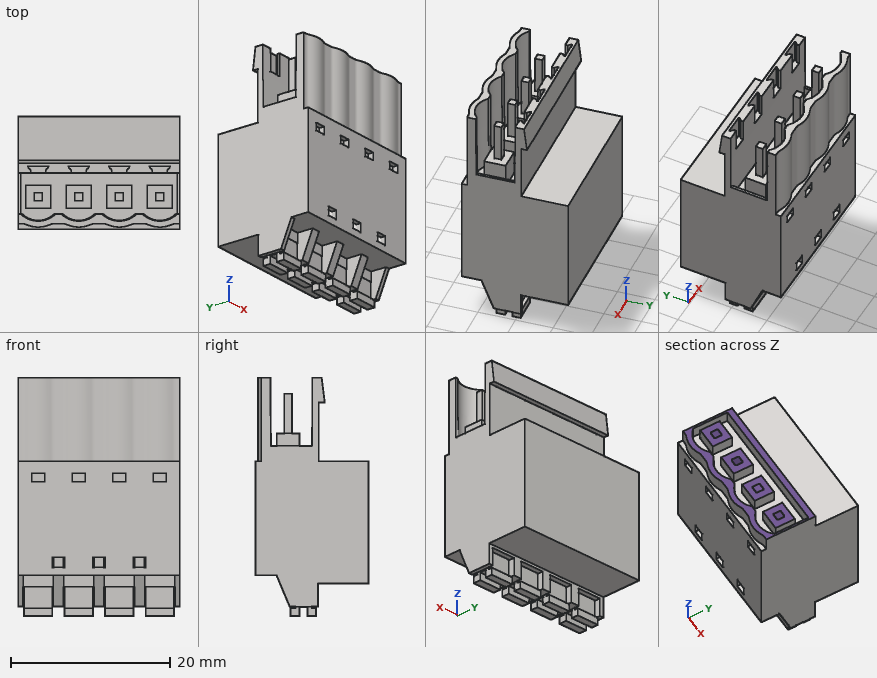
import cadquery as cq
import math


WAYS = 4
PITCH = 5.1
LENGTH = 20.32
WAY_X = [(i - (WAYS - 1) / 2) * PITCH for i in range(WAYS)]
GAP_X = [(a + b) / 2 for a, b in zip(WAY_X, WAY_X[1:])]
BEYOND = 1.5

TOP_Z = 29.93
SHELF_Z = 19.45
LIP_Z = 21.37
FLOOR_Z = 19.7
FRONT_BOTTOM_Z = 5.12
REAR_BOTTOM_Z = 4.1
FOOT_BOTTOM_Z = 1.2

DEPTH = 14.2
FOOT_REAR_Y = 7.87
FOOT_FRONT_Y = 4.28
SLOPE_TOP_Y = 2.63

LATCH_OUTER_Y = 7.95
LATCH_INNER_Y = 7.12
LATCH_TOP_Y = 8.32
LATCH_HOOK_Y = 8.7
LATCH_HOOK_Z = 26.8

PIN_Y = 4.1
OUTER_RADIUS = 3.8
OUTER_HALF_CHORD = 1.53
BLEND_HALF_CHORD = 2.05
INNER_RADIUS = 3.05
INNER_HALF_CHORD = 2.13

DRAFT_TOP_Z = 25.83
DRAFT_ANGLE = 0.8
END_LIP = 0.35

KEY_DEPTH = 3.15
KEY_WIDE = 2.55
KEY_NARROW = 1.9
KEY_BACK_Y = 7.93
KEY_WIDE_Y = 7.78
KEY_NARROW_Y = 7.45

BOSS_X = 3.1
BOSS_Y = 2.87
BOSS_TOP_Z = 22.93
PIN_SIZE = 1.0
PIN_TOP_Z = 27.92

WINDOW_WIDTH = 1.62
UPPER_WINDOW_Z = 17.42
UPPER_WINDOW_HEIGHT = 1.08
UPPER_WINDOW_DEPTH = 0.75
LOWER_WINDOW_Z = 6.75
LOWER_WINDOW_HEIGHT = 1.25
LOWER_WINDOW_DEPTH = 0.72
RELIEF_DEPTH = 0.72
RELIEF_BACK_WIDTH = 1.17
RELIEF_HEIGHT = 2.5

SLOT_WIDTH = 3.77
CLAMP_WIDTH = 3.6
CLAMP_TOP_Z = 3.68
CLAMP_REAR_Y = 7.05
CLAMP_FRONT_Y = 5.0
CLAMP_WEB_Z = 1.1
CLAMP_FOOT_TOP_Z = 1.02
REAR_LEG_Y = 6.52
FRONT_LEG_Y = 5.55
REAR_TOE_Y = 7.6
FRONT_TOE_Y = 4.37


def block(x_center, width, y_front, y_rear, z_bottom, z_top):
    """Box centred at x_center along X and spanning the given Y and Z limits."""
    size = (width, y_rear - y_front, z_top - z_bottom)
    raw_box = cq.Workplane("XY").box(*size, centered=(True, False, False))
    return raw_box.translate((x_center, y_front, z_bottom))


def side_profile(points, x_center, width):
    """Prism along X with the (Y, Z) outline given by points."""
    prism = cq.Workplane("YZ").polyline(points).close().extrude(width / 2, both=True)
    return prism.translate((x_center, 0, 0))


def arc_offset(radius, half_chord):
    """Distance from the centre of an arc to its chord."""
    return math.sqrt(radius**2 - half_chord**2)


def body():
    """Lower body with the sloped foot, the channel block and the latch wall."""
    outline = [
        (0, FRONT_BOTTOM_Z),
        (0, TOP_Z),
        (LATCH_TOP_Y, TOP_Z),
        (LATCH_HOOK_Y, LATCH_HOOK_Z),
        (LATCH_OUTER_Y, LATCH_HOOK_Z),
        (LATCH_OUTER_Y, SHELF_Z),
        (DEPTH, SHELF_Z),
        (DEPTH, REAR_BOTTOM_Z),
        (FOOT_REAR_Y, REAR_BOTTOM_Z),
        (FOOT_REAR_Y, FOOT_BOTTOM_Z),
        (FOOT_FRONT_Y, FOOT_BOTTOM_Z),
        (SLOPE_TOP_Y, FRONT_BOTTOM_Z),
    ]
    return side_profile(outline, 0, LENGTH)


def front_wave():
    """Space in front of the scalloped wall, above the shelf: arcs blended into flats."""
    scale = BLEND_HALF_CHORD / OUTER_HALF_CHORD
    blend_radius = OUTER_RADIUS * (scale - 1)
    arc_y = PIN_Y - arc_offset(OUTER_RADIUS, OUTER_HALF_CHORD)
    blend_center_y = PIN_Y - scale * (PIN_Y - arc_y)
    flat_y = blend_center_y + blend_radius
    half_angle = math.asin(OUTER_HALF_CHORD / OUTER_RADIUS) / 2
    blend_mid_x = BLEND_HALF_CHORD - blend_radius * math.sin(half_angle)
    blend_mid_y = blend_center_y + blend_radius * math.cos(half_angle)

    end = LENGTH / 2 + BEYOND
    wave = cq.Workplane("XY").workplane(offset=SHELF_Z).moveTo(-end, -BEYOND).lineTo(-end, flat_y)
    for x in WAY_X:
        wave = (
            wave.lineTo(x - BLEND_HALF_CHORD, flat_y)
            .threePointArc((x - blend_mid_x, blend_mid_y), (x - OUTER_HALF_CHORD, arc_y))
            .threePointArc((x, PIN_Y - OUTER_RADIUS), (x + OUTER_HALF_CHORD, arc_y))
            .threePointArc((x + blend_mid_x, blend_mid_y), (x + BLEND_HALF_CHORD, flat_y))
        )
    return wave.lineTo(end, flat_y).lineTo(end, -BEYOND).close().extrude(TOP_Z - SHELF_Z)


def channel_outline(z):
    """Outline at height z of the plug channel, running out past both ends of the housing."""
    end = LENGTH / 2 + BEYOND
    flat_y = PIN_Y - arc_offset(INNER_RADIUS, INNER_HALF_CHORD)
    outline = cq.Workplane("XY").workplane(offset=z).moveTo(-end, LATCH_INNER_Y).lineTo(-end, flat_y)
    for x in WAY_X:
        outline = outline.lineTo(x - INNER_HALF_CHORD, flat_y).threePointArc(
            (x, PIN_Y - INNER_RADIUS), (x + INNER_HALF_CHORD, flat_y)
        )
    return outline.lineTo(end, flat_y).lineTo(end, LATCH_INNER_Y).close()


def channel():
    """Plug channel: straight at the top, drafted below, with a lip left across each end."""
    straight = channel_outline(DRAFT_TOP_Z).extrude(TOP_Z - DRAFT_TOP_Z)
    drafted = channel_outline(DRAFT_TOP_Z).extrude(FLOOR_Z - DRAFT_TOP_Z, taper=DRAFT_ANGLE)
    for side in (-1, 1):
        lip_width = END_LIP + 2 * BEYOND
        lip_x = side * (LENGTH / 2 - END_LIP + lip_width / 2)
        drafted = drafted.cut(block(lip_x, lip_width, 0, LATCH_OUTER_Y, FLOOR_Z, LIP_Z))
    return straight.union(drafted)


def key_slot(x):
    """Dovetail slot, open to the channel and to the top of the latch wall."""
    wide = KEY_WIDE / 2
    narrow = KEY_NARROW / 2
    front_y = LATCH_INNER_Y - BEYOND
    half = [
        (wide, KEY_BACK_Y),
        (wide, KEY_WIDE_Y),
        (narrow, KEY_NARROW_Y),
        (narrow, front_y),
    ]
    outline = half + [(-px, py) for px, py in reversed(half)]
    slot = cq.Workplane("XY").polyline(outline).close().extrude(KEY_DEPTH)
    return slot.translate((x, 0, TOP_Z - KEY_DEPTH))


def upper_window(x):
    """Shallow rectangular window in the front face."""
    half = UPPER_WINDOW_HEIGHT / 2
    return block(x, WINDOW_WIDTH, 0, UPPER_WINDOW_DEPTH, UPPER_WINDOW_Z - half, UPPER_WINDOW_Z + half)


def lower_window(x):
    """Window through the front skin into a taller relief that narrows rearwards."""
    half = LOWER_WINDOW_HEIGHT / 2
    window = block(x, WINDOW_WIDTH, 0, LOWER_WINDOW_DEPTH, LOWER_WINDOW_Z - half, LOWER_WINDOW_Z + half)
    back_y = LOWER_WINDOW_DEPTH + RELIEF_DEPTH
    outline = [
        (-WINDOW_WIDTH / 2, LOWER_WINDOW_DEPTH),
        (WINDOW_WIDTH / 2, LOWER_WINDOW_DEPTH),
        (RELIEF_BACK_WIDTH / 2, back_y),
        (-RELIEF_BACK_WIDTH / 2, back_y),
    ]
    relief = cq.Workplane("XY").polyline(outline).close().extrude(RELIEF_HEIGHT)
    return window.union(relief.translate((x, 0, LOWER_WINDOW_Z - RELIEF_HEIGHT / 2)))


def clamp_slot(x):
    """Slot through the foot for a clamp, with a taller recess in front of it."""
    through = block(x, SLOT_WIDTH, 0, FOOT_REAR_Y, 0, CLAMP_TOP_Z)
    recess = block(x, SLOT_WIDTH, 0, CLAMP_FRONT_Y, 0, FRONT_BOTTOM_Z)
    return through.union(recess)


def pin(x):
    """Square contact pin standing on the channel floor, inside its boss."""
    return block(x, PIN_SIZE, PIN_Y - PIN_SIZE / 2, PIN_Y + PIN_SIZE / 2, FLOOR_Z, PIN_TOP_Z)


def boss(x):
    """Block around the base of a pin."""
    return block(x, BOSS_X, PIN_Y - BOSS_Y / 2, PIN_Y + BOSS_Y / 2, FLOOR_Z, BOSS_TOP_Z)


def clamp(x):
    """Clamp block with two legs whose toes turn outwards."""
    outline = [
        (CLAMP_FRONT_Y, CLAMP_TOP_Z),
        (CLAMP_REAR_Y, CLAMP_TOP_Z),
        (CLAMP_REAR_Y, CLAMP_FOOT_TOP_Z),
        (REAR_TOE_Y, CLAMP_FOOT_TOP_Z),
        (REAR_TOE_Y, 0),
        (REAR_LEG_Y, 0),
        (REAR_LEG_Y, CLAMP_WEB_Z),
        (FRONT_LEG_Y, CLAMP_WEB_Z),
        (FRONT_LEG_Y, 0),
        (FRONT_TOE_Y, 0),
        (FRONT_TOE_Y, CLAMP_FOOT_TOP_Z),
        (CLAMP_FRONT_Y, CLAMP_FOOT_TOP_Z),
    ]
    return side_profile(outline, x, CLAMP_WIDTH)


def housing_solid():
    """Housing with its channel, keying slots, windows, clamp slots and pin bosses."""
    housing = body().cut(front_wave()).cut(channel())
    for x in WAY_X:
        housing = housing.cut(key_slot(x)).cut(upper_window(x)).cut(clamp_slot(x))
        housing = housing.union(boss(x)).cut(pin(x))
    for x in GAP_X:
        housing = housing.cut(lower_window(x))
    return housing.solids().val()


housing = housing_solid()
pins = [pin(way_x).val() for way_x in WAY_X]
clamps = [clamp(way_x).val() for way_x in WAY_X]

result = cq.Compound.makeCompound([housing, *pins, *clamps])